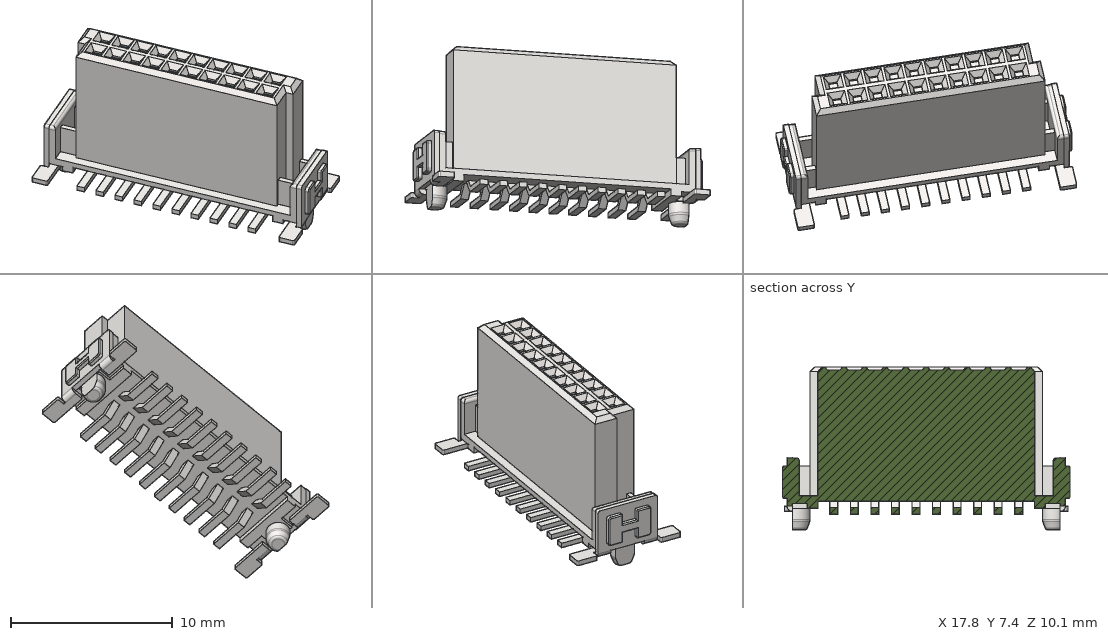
import cadquery as cq
import math


CONTACTS_PER_ROW = 10
ROWS = 2
PITCH = 1.27
CONTACT_WIDTH = 0.5
CONTACT_THICKNESS = 0.32
TAIL_END_Y = 3.2
TAIL_BEND_Y = 1.0
TAIL_RISE = 1.0
TAIL_SLOPE = math.radians(45)
SOCKET_MOUTH_X = 1.1
SOCKET_MOUTH_Y = 1.0
SOCKET_THROAT_X = 0.52
SOCKET_THROAT_Y = 0.41
SOCKET_TAPER_DEPTH = 0.35
SOCKET_THROAT_DEPTH = 0.12

BODY_TOP = 9.12
BODY_HALF_WIDTH = 1.53
BODY_WIDE_HALF_LENGTH = 7.19
BODY_NARROW_HALF_LENGTH = 6.72
BODY_CHAMFER = 0.3
BODY_STEP_Y = -0.03

BASE_HALF_WIDTH = 2.11
BASE_HALF_LENGTH = 8.27
FLOOR_TOP = 1.16
FLOOR_BOTTOM = 0.8
FOOT_BOTTOM = 0.38
FOOT_INNER_X = 6.68
END_WALL_TOP = 3.495
END_WALL_THICKNESS = 0.43
END_WALL_RADIUS = 0.2
RIB_TOP = 3.0
RIB_INNER_Y = 1.0
RIB_OUTER_Y = 1.31

CLIP_THICKNESS = 0.33
CLIP_CORNER_RADIUS = 0.17
CLIP_OVERHANG = 0.02
PAD_TOP = 0.52
PAD_INNER_X = 7.73
PAD_OUTER_X = 8.77
PAD_INNER_Y = 2.27
PAD_OUTER_Y = 3.7
PAD_CORNER_RADIUS = 0.1
BEND_INNER_Y = 1.2
CLIP_RECESS_INNER_X = 7.36
CLIP_RECESS_INNER_Y = 0.88
CLIP_RECESS_TOP = 0.67

OVERALL_LENGTH = 17.78
RELIEF_HALF_WIDTH = 1.53
RELIEF_BOTTOM = 1.0
RELIEF_TOP = 3.0
RELIEF_NOTCH_HALF_WIDTH = 0.51
RELIEF_BAR_HEIGHT = 0.6
RELIEF_OUTER_RADIUS = 0.2
RELIEF_NOTCH_RADIUS = 0.1
RELIEF_BEVEL = 0.075

PEG_BOTTOM = -0.96
PEG_RADIUS = 0.76
PEG_CENTER_X = 7.93
PEG_TAPER_TOP = -0.37
PEG_TIP_RADIUS = 0.54
PEG_TIP_ROUND = 0.2
PEG_SHOULDER_RADIUS = 0.4


def block(x0, x1, y0, y1, z0, z1):
    """Axis-aligned box between two corner points."""
    return cq.Workplane("XY").box(x1 - x0, y1 - y0, z1 - z0, centered=False).translate((x0, y0, z0))


def both_ends(shape):
    """The shape, built at the -X end, together with its copy at the +X end."""
    return shape.union(shape.mirror("YZ"))


def both_sides(shape):
    """The shape, built on the +Y side, together with its copy on the -Y side."""
    return shape.union(shape.mirror("XZ"))


def body():
    """Tall polarised body: its +Y half is longer than its -Y half."""
    wide, narrow, half = BODY_WIDE_HALF_LENGTH, BODY_NARROW_HALF_LENGTH, BODY_HALF_WIDTH
    outline = [
        (-wide, half), (wide, half), (wide, BODY_STEP_Y), (narrow, BODY_STEP_Y),
        (narrow, -half), (-narrow, -half), (-narrow, BODY_STEP_Y), (-wide, BODY_STEP_Y),
    ]
    footprint = cq.Workplane("XY").workplane(offset=FLOOR_BOTTOM).polyline(outline).close()
    return footprint.extrude(BODY_TOP - FLOOR_BOTTOM).faces(">Z").chamfer(BODY_CHAMFER)


def socket():
    """Cutter for one socket: tapered mouth and a straight throat."""
    mouth = (
        cq.Workplane("XY").workplane(offset=BODY_TOP).rect(SOCKET_MOUTH_X, SOCKET_MOUTH_Y)
        .workplane(offset=-SOCKET_TAPER_DEPTH).rect(SOCKET_THROAT_X, SOCKET_THROAT_Y)
        .loft(ruled=True)
    )
    throat = (
        cq.Workplane("XY").workplane(offset=BODY_TOP - SOCKET_TAPER_DEPTH)
        .rect(SOCKET_THROAT_X, SOCKET_THROAT_Y).extrude(-SOCKET_THROAT_DEPTH)
    )
    return mouth.union(throat)


def base_end():
    """End wall, foot and two ribs of the housing at the -X end."""
    outer = -BASE_HALF_LENGTH
    wall_inner = outer + END_WALL_THICKNESS
    wall = block(outer, wall_inner, -BASE_HALF_WIDTH, BASE_HALF_WIDTH, FLOOR_BOTTOM, END_WALL_TOP)
    rounded_corners = wall.edges("|X and >Z").fillet(END_WALL_RADIUS)
    wall = wall.edges(">X and >Z").fillet(END_WALL_RADIUS).intersect(rounded_corners)
    foot = block(outer, -FOOT_INNER_X, -BASE_HALF_WIDTH, BASE_HALF_WIDTH, FOOT_BOTTOM, FLOOR_TOP)
    recess = block(
        outer, -CLIP_RECESS_INNER_X, CLIP_RECESS_INNER_Y, BASE_HALF_WIDTH, FOOT_BOTTOM, CLIP_RECESS_TOP
    )
    foot = foot.cut(both_sides(recess))
    rib = block(wall_inner, -BODY_NARROW_HALF_LENGTH, RIB_INNER_Y, RIB_OUTER_Y, FLOOR_BOTTOM, RIB_TOP)
    return wall.union(foot).union(both_sides(rib))


def peg():
    """Tapered locating peg at the -X end, cut flush with the end of the housing."""
    profile = (
        cq.Workplane("XZ").moveTo(0, FLOOR_BOTTOM).lineTo(PEG_RADIUS, FLOOR_BOTTOM)
        .lineTo(PEG_RADIUS, PEG_TAPER_TOP).lineTo(PEG_TIP_RADIUS, PEG_BOTTOM).lineTo(0, PEG_BOTTOM).close()
    )
    pin = profile.revolve(360, (0, 0, 0), (0, 1, 0)).faces("<Z").edges().fillet(PEG_TIP_ROUND)
    shoulder = cq.selectors.NearestToPointSelector((0, 0, PEG_TAPER_TOP))
    pin = pin.edges("%CIRCLE").edges(shoulder).fillet(PEG_SHOULDER_RADIUS)
    pin = pin.translate((-PEG_CENTER_X, 0, 0))
    beyond_end = block(
        -PEG_CENTER_X - PEG_RADIUS, -BASE_HALF_LENGTH, -PEG_RADIUS, PEG_RADIUS, PEG_BOTTOM, FLOOR_BOTTOM
    )
    return pin.cut(beyond_end)


def clip():
    """Solder clip at the -X end: plate, rounded bends and solder pads."""
    inner = -BASE_HALF_LENGTH
    outer = inner - CLIP_THICKNESS
    half_width = BASE_HALF_WIDTH + CLIP_OVERHANG
    pad_bottom = PAD_TOP - CLIP_THICKNESS
    plate = block(outer, inner, -half_width, half_width, PAD_TOP, END_WALL_TOP + CLIP_OVERHANG)
    plate = plate.edges("|X and >Z").fillet(CLIP_CORNER_RADIUS)
    bend_cylinder = (
        cq.Workplane("XZ", origin=(inner, BEND_INNER_Y, PAD_TOP))
        .circle(CLIP_THICKNESS).extrude(BEND_INNER_Y - half_width)
    )
    bend = bend_cylinder.intersect(block(outer, inner, BEND_INNER_Y, half_width, pad_bottom, PAD_TOP))
    strip = block(inner, -PAD_INNER_X, BEND_INNER_Y, PAD_OUTER_Y, pad_bottom, PAD_TOP)
    strip = strip.edges("|Z and >X and >Y").fillet(PAD_CORNER_RADIUS)
    pad = block(-PAD_OUTER_X, -PAD_INNER_X, PAD_INNER_Y, PAD_OUTER_Y, pad_bottom, PAD_TOP)
    pad = pad.edges("|Z").fillet(PAD_CORNER_RADIUS)
    return plate.union(both_sides(bend.union(strip).union(pad)))


def relief():
    """Raised H-shaped relief with bevelled edges on the -X clip plate."""
    base_x = -BASE_HALF_LENGTH - CLIP_THICKNESS
    height = OVERALL_LENGTH / 2 + base_x
    tall = RELIEF_TOP - RELIEF_BOTTOM
    notch_depth = (tall - RELIEF_BAR_HEIGHT) / 2
    plane = cq.Workplane("YZ", origin=(base_x, 0, (RELIEF_TOP + RELIEF_BOTTOM) / 2))
    slab = plane.rect(2 * RELIEF_HALF_WIDTH, tall).extrude(-height)
    slab = slab.edges("|X").fillet(RELIEF_OUTER_RADIUS)
    notch_offset = (RELIEF_BAR_HEIGHT + notch_depth) / 2
    notches = (
        plane.pushPoints([(0, notch_offset), (0, -notch_offset)])
        .rect(2 * RELIEF_NOTCH_HALF_WIDTH, notch_depth).extrude(-height)
    )
    raised = slab.cut(notches)
    reach_y = RELIEF_NOTCH_HALF_WIDTH + RELIEF_NOTCH_RADIUS
    near_notches = cq.selectors.BoxSelector(
        (base_x - height, -reach_y, RELIEF_BOTTOM - RELIEF_NOTCH_RADIUS),
        (base_x, reach_y, RELIEF_TOP + RELIEF_NOTCH_RADIUS),
    )
    raised = raised.faces(">Z or <Z").edges("|X").edges(near_notches).fillet(RELIEF_NOTCH_RADIUS)
    return raised.faces("<X").chamfer(RELIEF_BEVEL)


def contact_tail():
    """Solder tail on the +Y side: flat outside, sloping up into the base."""
    top_bend_y = TAIL_BEND_Y + CONTACT_THICKNESS * math.tan(TAIL_SLOPE / 2)
    run = TAIL_RISE / math.tan(TAIL_SLOPE)
    top_run = (TAIL_RISE - CONTACT_THICKNESS) / math.tan(TAIL_SLOPE)
    profile = [
        (TAIL_END_Y, 0), (TAIL_BEND_Y, 0), (TAIL_BEND_Y - run, TAIL_RISE), (top_bend_y - top_run, TAIL_RISE),
        (top_bend_y, CONTACT_THICKNESS), (TAIL_END_Y, CONTACT_THICKNESS),
    ]
    return cq.Workplane("YZ").polyline(profile).close().extrude(CONTACT_WIDTH / 2, both=True)


def build():
    floor = block(
        -BASE_HALF_LENGTH, BASE_HALF_LENGTH, -BASE_HALF_WIDTH, BASE_HALF_WIDTH, FLOOR_BOTTOM, FLOOR_TOP
    )
    end_parts = base_end().union(peg()).union(clip()).union(relief())
    part = floor.union(body()).union(both_ends(end_parts))
    tails = both_sides(contact_tail())
    for index in range(CONTACTS_PER_ROW):
        x = (index - (CONTACTS_PER_ROW - 1) / 2) * PITCH
        part = part.union(tails.translate((x, 0, 0)))
        for row in range(ROWS):
            y = (row - (ROWS - 1) / 2) * PITCH
            part = part.cut(socket().translate((x, y, 0)))
    return part


result = build()